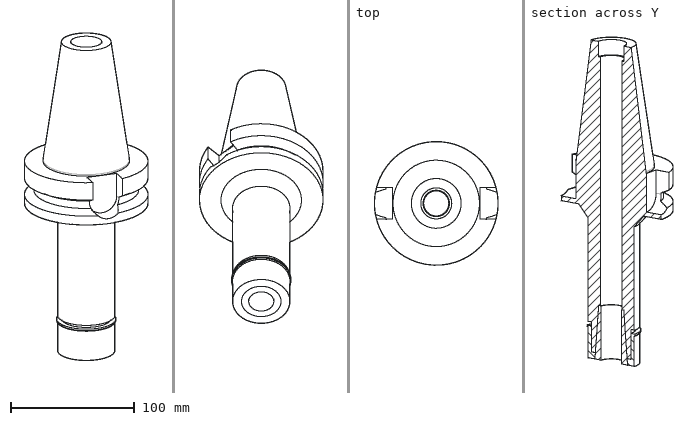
import cadquery as cq

overall_height = 266.8
gauge_z = 165.1
flange_top_z = 163.8
groove_top_z = 149.0
groove_wall_top_z = 145.1
groove_wall_bottom_z = 138.7
groove_bottom_z = 135.0
flange_bottom_z = 127.3
shank_top_z = 117.0
shank_bottom_z = 30.5
nut_height = 27.5

taper_ratio = 7 / 24
gauge_radius = 35.0
taper_tip_radius = gauge_radius - (overall_height - gauge_z) * taper_ratio / 2
flange_radius = 50.02
groove_radius = 42.5
shank_radius = 23.2
shoulder_radius = shank_radius + 9.3
neck_radius = 20.0

slot_width = 25.5
slot_floor_x = 35.5
slot_end_z = 131.5

drawbar_bore_radius = 12.5
drawbar_bore_depth = 12.8
through_bore_radius = 10.7

collet_bore_radius = 10.1
collet_base_radius = 16.0
collet_tip_radius = 12.3
collet_height = 45.4

nut_radius = shank_radius
collar_radius = 24.0
collar_bottom_z = 26.1
collar_chamfer_height = 0.8
nut_lip_height = 5.3


def revolve_profile(points):
    """Turn a closed (radius, height) outline about the Z axis."""
    return cq.Workplane("XZ").polyline(points).close().revolve(360, (0, 0, 0), (0, 1, 0))


def cylinder(radius, bottom_z, top_z):
    return cq.Workplane("XY").workplane(offset=bottom_z).circle(radius).extrude(top_z - bottom_z)


def collet_envelope():
    """Outer cone of the collet, also used to cut its seats."""
    return revolve_profile([
        (0, 0),
        (collet_base_radius, 0),
        (collet_tip_radius, collet_height),
        (0, collet_height),
    ])


def drive_slot(side):
    """Cutter for a slot open at the flange top and rounded at its lower end."""
    half_width = slot_width / 2
    arc_center_z = slot_end_z + half_width
    return (
        cq.Workplane("YZ")
        .workplane(offset=side * slot_floor_x)
        .moveTo(-half_width, flange_top_z)
        .lineTo(-half_width, arc_center_z)
        .threePointArc((0, slot_end_z), (half_width, arc_center_z))
        .lineTo(half_width, flange_top_z)
        .close()
        .extrude(side * flange_radius)
    )


def make_holder():
    holder = revolve_profile([
        (0, nut_lip_height),
        (neck_radius, nut_lip_height),
        (neck_radius, shank_bottom_z),
        (shank_radius, shank_bottom_z),
        (shank_radius, shank_top_z),
        (shoulder_radius, flange_bottom_z),
        (flange_radius, flange_bottom_z),
        (flange_radius, groove_bottom_z),
        (groove_radius, groove_wall_bottom_z),
        (groove_radius, groove_wall_top_z),
        (flange_radius, groove_top_z),
        (flange_radius, flange_top_z),
        (gauge_radius, flange_top_z),
        (gauge_radius, gauge_z),
        (taper_tip_radius, overall_height),
        (0, overall_height),
    ])
    for side in (-1, 1):
        holder = holder.cut(drive_slot(side))
    holder = holder.cut(cylinder(through_bore_radius, 0, overall_height))
    drawbar_bore_bottom_z = overall_height - drawbar_bore_depth
    holder = holder.cut(cylinder(drawbar_bore_radius, drawbar_bore_bottom_z, overall_height))
    return holder.cut(collet_envelope())


def make_nut():
    nut = revolve_profile([
        (0, 0),
        (nut_radius, 0),
        (nut_radius, collar_bottom_z - collar_chamfer_height),
        (collar_radius, collar_bottom_z),
        (collar_radius, nut_height),
        (0, nut_height),
    ])
    nut = nut.cut(cylinder(neck_radius, nut_lip_height, nut_height))
    return nut.cut(collet_envelope())


def make_collet():
    return collet_envelope().cut(cylinder(collet_bore_radius, 0, collet_height))


holder = make_holder()
nut = make_nut()
collet = make_collet()

result = cq.Compound.makeCompound([holder.val(), nut.val(), collet.val()])